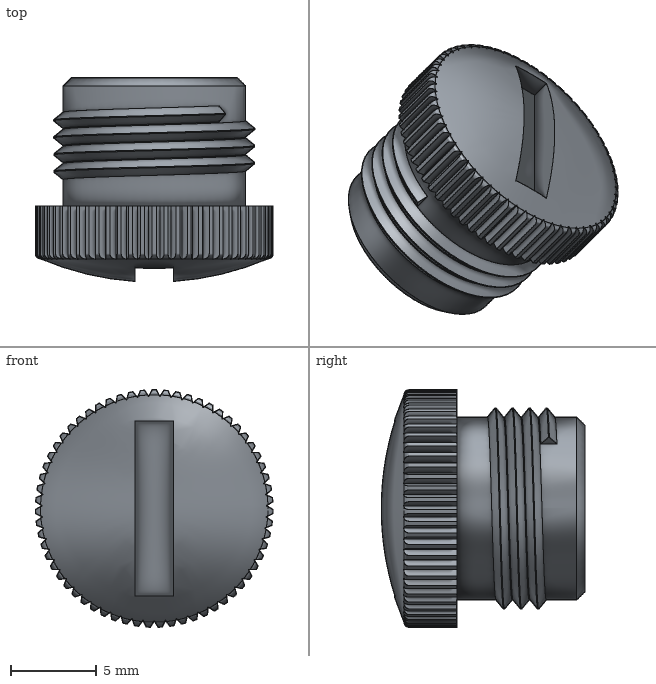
import cadquery as cq
import math


shank_radius = 10.7 / 2
shank_length = 7.5
shank_chamfer = 0.5

thread_radius = 11.77 / 2
thread_pitch = 1.0
thread_turns = 3.5
thread_start_y = 1.875
thread_start_angle = 135.0
thread_root_width = 0.94
thread_crest_width = 0.06
thread_embed = 0.2

head_radius = 13.9 / 2
head_rim_height = 3.1
head_height = 4.467
rim_round = 0.3

tooth_count = 63
groove_root_radius = 6.57
tooth_tip_width = 0.24

slot_width = 2.25
slot_length = 10.24
slot_floor_y = -2.5


def make_shank():
    shank = cq.Workplane("XY").circle(shank_radius).extrude(shank_length)
    return shank.faces(">Z").chamfer(shank_chamfer)


def make_thread():
    """Trapezoidal ridge swept on a helix, its foot sunk into the shank."""
    foot_radius = shank_radius - thread_embed
    half_root = thread_root_width / 2
    half_crest = thread_crest_width / 2
    helix = cq.Wire.makeHelix(thread_pitch, thread_pitch * thread_turns, shank_radius)
    ridge = (
        cq.Workplane("XZ")
        .polyline([
            (foot_radius, -half_root),
            (shank_radius, -half_root),
            (thread_radius, -half_crest),
            (thread_radius, half_crest),
            (shank_radius, half_root),
            (foot_radius, half_root),
        ])
        .close()
        .sweep(cq.Workplane(obj=helix), isFrenet=True)
    )
    ridge = ridge.rotate((0, 0, 0), (0, 0, 1), thread_start_angle)
    return ridge.translate((0, 0, thread_start_y))


def make_domed_blank():
    """Revolved head with a rounded rim and a spherical dome."""
    dome_edge_radius = head_radius - rim_round
    dome_rise = head_height - head_rim_height
    dome_radius = (dome_edge_radius ** 2 + dome_rise ** 2) / (2 * dome_rise)
    dome_mid_x = dome_edge_radius / 2
    dome_mid_drop = dome_radius - math.sqrt(dome_radius ** 2 - dome_mid_x ** 2)
    round_offset = rim_round * (1 - math.sqrt(0.5))
    profile = (
        cq.Workplane("XZ")
        .lineTo(head_radius, 0)
        .lineTo(head_radius, -head_rim_height + rim_round)
        .threePointArc(
            (head_radius - round_offset, -head_rim_height + round_offset),
            (dome_edge_radius, -head_rim_height),
        )
        .threePointArc((dome_mid_x, -head_height + dome_mid_drop), (0, -head_height))
        .close()
    )
    return profile.revolve(360, (0, 0), (0, 1))


def make_knurl_envelope():
    """Toothed prism that trims the head; one tooth is centred on the Z axis of the part."""
    tooth_angle = 2 * math.pi / tooth_count
    half_tip_angle = math.asin(tooth_tip_width / 2 / head_radius)
    tip_corner_radius = head_radius / math.cos(half_tip_angle)
    points = []
    for tooth in range(tooth_count):
        middle = tooth * tooth_angle - math.pi / 2
        for radius, angle in (
            (tip_corner_radius, middle - half_tip_angle),
            (tip_corner_radius, middle + half_tip_angle),
            (groove_root_radius, middle + tooth_angle / 2),
        ):
            points.append((radius * math.cos(angle), radius * math.sin(angle)))
    return cq.Workplane("XY").polyline(points).close().extrude(-head_height)


def make_slot():
    depth = head_height + slot_floor_y
    return (
        cq.Workplane("XY", origin=(0, 0, slot_floor_y))
        .rect(slot_width, slot_length)
        .extrude(-depth)
    )


head = make_domed_blank().intersect(make_knurl_envelope()).cut(make_slot())
screw = make_shank().union(make_thread()).union(head)

result = screw.rotate((0, 0, 0), (1, 0, 0), -90)